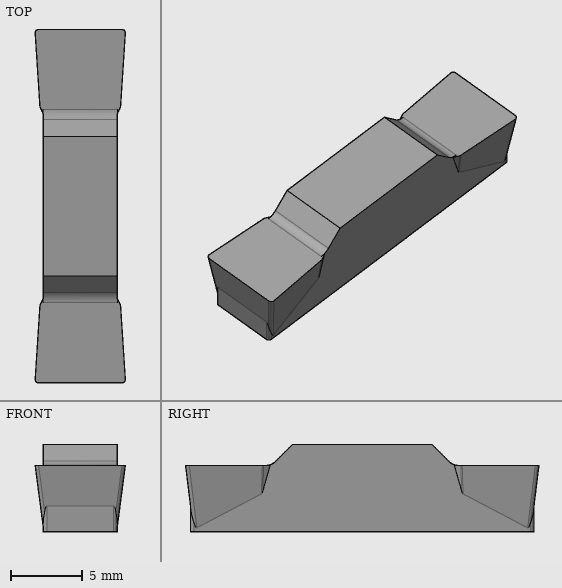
import cadquery as cq
import math

overall_length = 24.84
cutting_width = 6.35
overall_height = 6.14

body_width = 5.2
body_end_y = 12.07
rake_height = 4.67
ridge_half_length = 4.9
ridge_slope_angle = 45.0
ridge_root_radius = 1.0

relief_angle = 7.0
side_taper_angle = 3.7
head_shoulder_y = 6.97
head_root_y = 6.47
corner_radius = 0.25
head_overlap = 1.0

head_tip_y = overall_length / 2
side_taper = math.radians(side_taper_angle)
rounding_loss = corner_radius * (math.tan(side_taper) + 1 / math.cos(side_taper) - 1)
sharp_tip_half_width = cutting_width / 2 + rounding_loss
half_body_width = body_width / 2
ridge_run = (overall_height - rake_height) / math.tan(math.radians(ridge_slope_angle))
ridge_foot_y = ridge_half_length + ridge_run
side_narrowing = (head_tip_y - head_shoulder_y) * math.tan(side_taper)
shoulder_half_width = sharp_tip_half_width - side_narrowing
shoulder_slope = (shoulder_half_width - half_body_width) / (head_shoulder_y - head_root_y)
inner_end_y = head_root_y - head_overlap
inner_half_width = half_body_width - head_overlap * shoulder_slope


def make_body():
    """Bar with a raised ridge, blended into the rake faces, and rounded end corners."""
    profile = [
        (-body_end_y, 0),
        (body_end_y, 0),
        (body_end_y, rake_height),
        (ridge_foot_y, rake_height),
        (ridge_half_length, overall_height),
        (-ridge_half_length, overall_height),
        (-ridge_foot_y, rake_height),
        (-body_end_y, rake_height),
    ]
    body = cq.Workplane("YZ").polyline(profile).close().extrude(half_body_width, both=True)

    for side in (-1, 1):
        root = cq.selectors.NearestToPointSelector((0, side * ridge_foot_y, rake_height))
        body = body.edges("|X").edges(root).fillet(ridge_root_radius)

    return body.edges("|Z").edges("<Y or >Y").fillet(corner_radius)


def make_front_head():
    """Head at the -Y end: a tapering plan outline with relieved walls and rounded corners."""
    outline = [
        (-sharp_tip_half_width, -head_tip_y),
        (sharp_tip_half_width, -head_tip_y),
        (shoulder_half_width, -head_shoulder_y),
        (inner_half_width, -inner_end_y),
        (-inner_half_width, -inner_end_y),
        (-shoulder_half_width, -head_shoulder_y),
    ]
    head = (
        cq.Workplane("XY")
        .workplane(offset=rake_height)
        .polyline(outline)
        .close()
        .extrude(-rake_height, taper=relief_angle)
    )
    exposed_region = cq.selectors.BoxSelector(
        (-cutting_width, -overall_length, 0),
        (cutting_width, -head_root_y, overall_height),
    )
    return head.edges("not(#Z)").edges(exposed_region).fillet(corner_radius)


front_head = make_front_head()
back_head = front_head.mirror("XZ")

result = make_body().union(front_head).union(back_head)